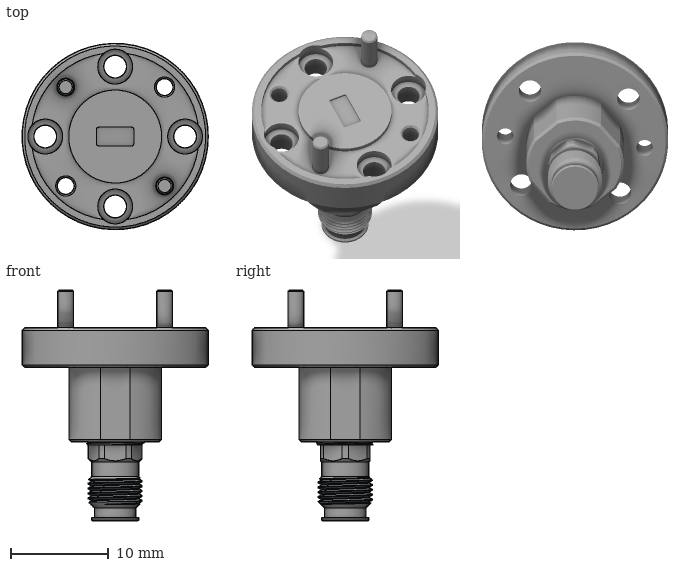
import cadquery as cq
import math

TOTAL_HEIGHT = 23.61
PIN_TOP = 3.85
FLANGE_BOTTOM = -4.06
STEM_BOTTOM = -11.68
COLLAR_BOTTOM = -11.97
HEX_BOTTOM = -13.73
NECK_BOTTOM = -15.23
THREAD_BOTTOM = -18.42
RELIEF_BOTTOM = -19.40
CONNECTOR_BOTTOM = PIN_TOP - TOTAL_HEIGHT

FLANGE_RADIUS = 19.05 / 2
FLANGE_CHAMFER = 0.27
RECESS_RADIUS = 8.57
RECESS_DEPTH = 0.5
BOSS_RADIUS = 9.5 / 2
WAVEGUIDE_LENGTH = 3.8
WAVEGUIDE_WIDTH = 1.9
WAVEGUIDE_CORNER = 0.2
WAVEGUIDE_DEPTH = 0.25

BOLT_CIRCLE_RADIUS = 14.29 / 2
SCREW_ANGLES = (0, 90, 180, 270)
SCREW_HOLE_RADIUS = 2.3 / 2
SCREW_SEAT_RADIUS = 3.56 / 2
SCREW_SEAT_DEPTH = 1.55
ALIGNMENT_ANGLES = (45, 225)
ALIGNMENT_HOLE_RADIUS = 1.7 / 2
ALIGNMENT_CHAMFER = 0.18

PIN_ANGLES = (135, 315)
PIN_RADIUS = 1.64 / 2
PIN_CHAMFER = 0.15
PIN_HOLE_CHAMFER = 0.09

STEM_RADIUS = 9.95 / 2
STEM_ACROSS_FLATS = 9.48
STEM_CHAMFER = 0.27

COLLAR_RADIUS = 3.0
COLLAR_TIP_RADIUS = 2.83
HEX_RADIUS = 5.53 / 2
HEX_ACROSS_FLATS = 5.08
NECK_RADIUS = 4.83 / 2
THREAD_RADIUS = 5.53 / 2
RELIEF_RADIUS = 4.25 / 2
LIP_TOP_CHAMFER = 0.05
END_CHAMFER = 0.11

PITCH = 0.5
THREAD_DEPTH = 0.27
ROOT_FLAT = 0.1
CUTTER_OVERSHOOT = 0.03
FLANK_ANGLE = math.radians(30)
COLLAR_GROOVE_TURNS = 2
COLLAR_GROOVE_LEAD = 0.47
BARREL_GROOVE_LEAD = 0.02


def cylinder(radius, bottom, top):
    return cq.Workplane("XY").workplane(offset=bottom).circle(radius).extrude(top - bottom)


def on_bolt_circle(angle):
    a = math.radians(angle)
    return (BOLT_CIRCLE_RADIUS * math.cos(a), BOLT_CIRCLE_RADIUS * math.sin(a))


def countersink(radius, depth, top):
    """45 degree cone that chamfers the mouth of a hole of the given radius."""
    return cq.Workplane(cq.Solid.makeCone(radius, radius + depth, depth)).translate((0, 0, top - depth))


def thread_turn(major_radius):
    """One turn of a right-handed helical V groove that begins on the +X side at Z = 0."""
    root_radius = major_radius - THREAD_DEPTH
    outer_radius = major_radius + CUTTER_OVERSHOOT
    half_root = ROOT_FLAT / 2
    half_mouth = half_root + (outer_radius - root_radius) * math.tan(FLANK_ANGLE)
    path = cq.Workplane(cq.Wire.makeHelix(PITCH, PITCH, root_radius))
    return (
        cq.Workplane("XZ")
        .polyline([
            (root_radius, -half_root),
            (outer_radius, -half_mouth),
            (outer_radius, half_mouth),
            (root_radius, half_root),
        ])
        .close()
        .sweep(path, isFrenet=True)
    )


def cut_thread(body, major_radius, start, turns):
    """Cut a thread turn by turn, upwards from height start."""
    turn = thread_turn(major_radius)
    for index in range(turns):
        body = body.cut(turn.translate((0, 0, start + index * PITCH)))
    return body


def make_flange():
    flange = cylinder(FLANGE_RADIUS, FLANGE_BOTTOM, 0).edges().chamfer(FLANGE_CHAMFER)
    recess = cylinder(RECESS_RADIUS, -RECESS_DEPTH, 0).cut(cylinder(BOSS_RADIUS, -RECESS_DEPTH, 0))
    waveguide = (
        cq.Workplane("XY")
        .rect(WAVEGUIDE_LENGTH, WAVEGUIDE_WIDTH)
        .extrude(-WAVEGUIDE_DEPTH)
        .edges("|Z")
        .fillet(WAVEGUIDE_CORNER)
    )
    return flange.cut(recess).cut(waveguide)


def cut_flange_holes(body):
    recess_floor = -RECESS_DEPTH
    screw_hole = cylinder(SCREW_HOLE_RADIUS, FLANGE_BOTTOM, 0).union(
        cylinder(SCREW_SEAT_RADIUS, -SCREW_SEAT_DEPTH, 0)
    )
    alignment_hole = cylinder(ALIGNMENT_HOLE_RADIUS, FLANGE_BOTTOM, recess_floor).union(
        countersink(ALIGNMENT_HOLE_RADIUS, ALIGNMENT_CHAMFER, recess_floor)
    )
    pin_hole = cylinder(PIN_RADIUS, FLANGE_BOTTOM, recess_floor).union(
        countersink(PIN_RADIUS, PIN_HOLE_CHAMFER, recess_floor)
    )
    hole_sets = (
        (screw_hole, SCREW_ANGLES),
        (alignment_hole, ALIGNMENT_ANGLES),
        (pin_hole, PIN_ANGLES),
    )
    for hole, angles in hole_sets:
        for angle in angles:
            body = body.cut(hole.translate(on_bolt_circle(angle) + (0,)))
    return body


def make_stem():
    length = FLANGE_BOTTOM - STEM_BOTTOM
    flats = (
        cq.Workplane("XY")
        .workplane(offset=STEM_BOTTOM)
        .rect(STEM_ACROSS_FLATS, STEM_ACROSS_FLATS)
        .extrude(length)
    )
    bar = cylinder(STEM_RADIUS, STEM_BOTTOM, FLANGE_BOTTOM)
    return bar.faces("<Z").chamfer(STEM_CHAMFER).intersect(flats.faces("<Z").chamfer(STEM_CHAMFER))


def make_collar():
    """Threaded end of the connector that emerges from the stem."""
    collar_top = STEM_BOTTOM + PITCH
    taper_height = STEM_BOTTOM - COLLAR_BOTTOM
    collar = cylinder(COLLAR_RADIUS, STEM_BOTTOM, collar_top).union(
        cq.Workplane(cq.Solid.makeCone(COLLAR_TIP_RADIUS, COLLAR_RADIUS, taper_height))
        .translate((0, 0, COLLAR_BOTTOM))
    )
    return cut_thread(collar, COLLAR_RADIUS, COLLAR_BOTTOM - COLLAR_GROOVE_LEAD, COLLAR_GROOVE_TURNS)


def make_hex():
    across_corners = HEX_ACROSS_FLATS / math.cos(math.pi / 6)
    flats = (
        cq.Workplane("XY")
        .workplane(offset=HEX_BOTTOM)
        .polygon(6, across_corners)
        .extrude(COLLAR_BOTTOM - HEX_BOTTOM)
    )
    rounded = cylinder(HEX_RADIUS, HEX_BOTTOM, COLLAR_BOTTOM)
    return rounded.faces("<Z").chamfer(HEX_RADIUS - NECK_RADIUS).intersect(flats)


def make_barrel():
    """Neck, threaded barrel, relief and end lip below the hexagon."""
    lead_in = THREAD_RADIUS - NECK_RADIUS
    lead_out = THREAD_RADIUS - RELIEF_RADIUS
    profile = [
        (0, HEX_BOTTOM),
        (NECK_RADIUS, HEX_BOTTOM),
        (NECK_RADIUS, NECK_BOTTOM),
        (THREAD_RADIUS, NECK_BOTTOM - lead_in),
        (THREAD_RADIUS, THREAD_BOTTOM + lead_out),
        (RELIEF_RADIUS, THREAD_BOTTOM),
        (RELIEF_RADIUS, RELIEF_BOTTOM),
        (NECK_RADIUS - LIP_TOP_CHAMFER, RELIEF_BOTTOM),
        (NECK_RADIUS, RELIEF_BOTTOM - LIP_TOP_CHAMFER),
        (NECK_RADIUS, CONNECTOR_BOTTOM + END_CHAMFER),
        (NECK_RADIUS - END_CHAMFER, CONNECTOR_BOTTOM),
        (0, CONNECTOR_BOTTOM),
    ]
    barrel = cq.Workplane("XZ").polyline(profile).close().revolve(360, (0, 0, 0), (0, 1, 0))
    turns = math.ceil((NECK_BOTTOM - THREAD_BOTTOM) / PITCH)
    return cut_thread(barrel, THREAD_RADIUS, THREAD_BOTTOM - BARREL_GROOVE_LEAD, turns)


def make_pin(angle):
    pin = cylinder(PIN_RADIUS, FLANGE_BOTTOM, PIN_TOP).faces(">Z").chamfer(PIN_CHAMFER)
    return pin.translate(on_bolt_circle(angle) + (0,))


adapter = cut_flange_holes(make_flange())
for section in (make_stem(), make_collar(), make_hex(), make_barrel()):
    adapter = adapter.union(section)

pins = [make_pin(angle).val() for angle in PIN_ANGLES]

result = cq.Compound.makeCompound([adapter.val(), *pins])